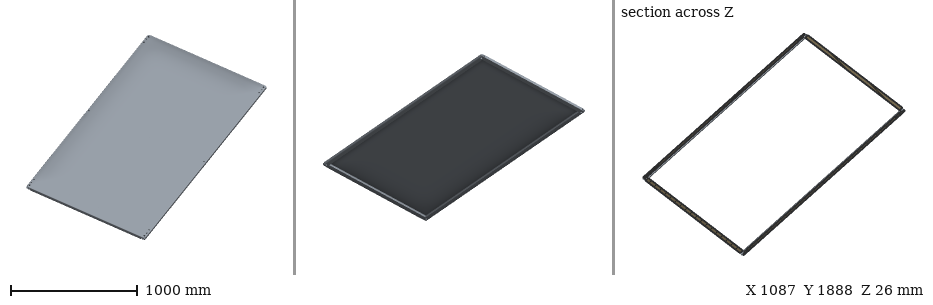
import cadquery as cq

WIDTH = 1087.0
LENGTH = 1888.0
HEIGHT = 26.0

COVER_THICKNESS = 6.8
COVER_CORNER_RADIUS = 20.0
COVER_EDGE_RADIUS = 4.5

RAIL_WIDTH = 35.0
RAIL_CORNER_RADIUS = 6.0
RAIL_EDGE_RADIUS = 5.1
RAIL_HEIGHT = HEIGHT - COVER_THICKNESS

BORE_RADIUS = 6.6
BORE_INSET = 28.0

END_HOLE_RADIUS = 6.6
END_HOLE_INSET = 11.0
END_HOLE_DEPTH = 10.0

CORNER_HOLE_RADIUS = 8.0
CORNER_HOLE_INSET = 17.0
CORNER_HOLE_END_DISTANCE = 25.0
PIN_HOLE_RADIUS = 6.2
PIN_HOLE_INSET = 13.0
PIN_HOLE_END_DISTANCE = 57.0
SCREW_HOLE_RADIUS = 8.0
SCREW_HOLE_INSET = 16.0
SCREW_HOLE_END_DISTANCE = 95.0

CORE_RADIUS = 2.8
CORE_DEPTH = 13.0
END_CORE_DEPTH = 15.0

SIDES = (-1, 1)
BOTTOM_Z = -HEIGHT / 2
COVER_BOTTOM_Z = BOTTOM_Z + RAIL_HEIGHT
BORE_Z = BOTTOM_Z + RAIL_HEIGHT / 2


def hole_points(inset, y_positions):
    """Mirrored positions along both long edges."""
    return [(side * (WIDTH / 2 - inset), y) for side in SIDES for y in y_positions]


def end_positions(end_distance):
    """The two Y positions at the same distance from either end."""
    return [side * (LENGTH / 2 - end_distance) for side in SIDES]


CORNER_HOLES = hole_points(CORNER_HOLE_INSET, end_positions(CORNER_HOLE_END_DISTANCE))
PIN_HOLES = hole_points(PIN_HOLE_INSET, end_positions(PIN_HOLE_END_DISTANCE))
SCREW_HOLES = hole_points(SCREW_HOLE_INSET, end_positions(SCREW_HOLE_END_DISTANCE) + [0.0])


def block(x_size, y_size, z_size, x_centre, y_centre, z_bottom):
    """Rectangular bar standing on z_bottom."""
    return cq.Workplane("XY", origin=(x_centre, y_centre, z_bottom)).rect(x_size, y_size).extrude(z_size)


def vertical_pegs(points, radius, z_bottom, height):
    """Cylinders used to cut vertical holes."""
    return cq.Workplane("XY", origin=(0, 0, z_bottom)).pushPoints(points).circle(radius).extrude(height)


def lengthwise_peg(x, y_start, radius, length):
    """Cylinder at bore height, running from y_start by a signed length along +Y."""
    return cq.Workplane("XZ", origin=(x, y_start, BORE_Z)).circle(radius).extrude(-length)


def make_cover():
    """Full-size panel with rounded corners and a rounded top edge."""
    cover = block(WIDTH, LENGTH, COVER_THICKNESS, 0, 0, COVER_BOTTOM_Z)
    cover = cover.edges("|Z").fillet(COVER_CORNER_RADIUS)
    cover = cover.faces(">Z").edges().fillet(COVER_EDGE_RADIUS)
    for points, radius in (
        (CORNER_HOLES, CORNER_HOLE_RADIUS),
        (PIN_HOLES, PIN_HOLE_RADIUS),
        (SCREW_HOLES, SCREW_HOLE_RADIUS),
    ):
        cover = cover.cut(vertical_pegs(points, radius, COVER_BOTTOM_Z, COVER_THICKNESS))
    return cover


def make_side_rail(side):
    """Full-length bar, rounded on its outer corners and lower outer edge."""
    outer_face = ">X" if side > 0 else "<X"
    rail = block(RAIL_WIDTH, LENGTH, RAIL_HEIGHT, side * (WIDTH - RAIL_WIDTH) / 2, 0, BOTTOM_Z)
    rail = rail.faces(outer_face).edges("|Z").fillet(RAIL_CORNER_RADIUS)
    rail = rail.faces(outer_face).edges("<Z").fillet(RAIL_EDGE_RADIUS)

    rail = rail.cut(lengthwise_peg(side * (WIDTH / 2 - BORE_INSET), -LENGTH / 2, BORE_RADIUS, LENGTH))

    end_hole_x = side * (WIDTH / 2 - END_HOLE_INSET)
    for end in SIDES:
        for radius, depth in ((END_HOLE_RADIUS, END_HOLE_DEPTH), (CORE_RADIUS, END_CORE_DEPTH)):
            rail = rail.cut(lengthwise_peg(end_hole_x, end * LENGTH / 2, radius, -end * depth))

    rail = rail.cut(vertical_pegs(CORNER_HOLES, CORNER_HOLE_RADIUS, BOTTOM_Z, RAIL_HEIGHT))
    core_bottom = COVER_BOTTOM_Z - CORE_DEPTH
    return rail.cut(vertical_pegs(PIN_HOLES + SCREW_HOLES, CORE_RADIUS, core_bottom, CORE_DEPTH))


def make_end_rail(end):
    """Plain bar closing the frame between the side rails."""
    y_centre = end * (LENGTH - RAIL_WIDTH) / 2
    return block(WIDTH - 2 * RAIL_WIDTH, RAIL_WIDTH, RAIL_HEIGHT, 0, y_centre, BOTTOM_Z)


cover = make_cover()
side_rails = [make_side_rail(side) for side in SIDES]
end_rails = [make_end_rail(end) for end in SIDES]

result = cq.Compound.makeCompound([body.val() for body in [cover, *side_rails, *end_rails]])